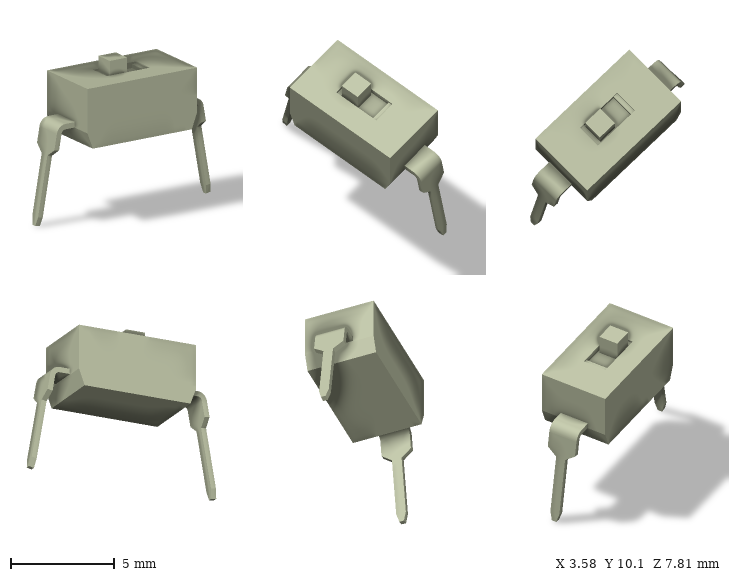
import cadquery as cq
import math

body_width = 3.58
body_length = 6.31
body_height = 3.07
bevel_height = 0.82
bevel_inset = 0.3

centre_x = -0.05

slot_width = 1.22
slot_length = 2.49
ledge_length = 0.24
ledge_depth = 0.1
slot_depth = 0.3

knob_width = 1.01
knob_height = 0.7

lead_span = 10.09
lead_drop = 4.04
lead_top = 1.12
lead_thickness = 0.27
lead_width = 1.53
bend_radius = 0.5
splay_angle = 10.0
pin_width = 0.5
tip_width = 0.24
tip_taper_length = 0.47
shoulder_start = 3.54
shoulder_end = 3.94

splay = math.radians(splay_angle)
along_y = math.sin(splay)
along_z = math.cos(splay)

tip_y = -lead_span / 2
tip_z = -lead_drop + lead_thickness * math.sin(splay)

bend_axis_z = lead_top - bend_radius
leg_top_z = bend_axis_z + bend_radius * math.sin(splay)
leg_length = (leg_top_z - tip_z) / along_z
leg_top_y = tip_y + leg_length * along_y
bend_axis_y = leg_top_y + bend_radius * math.cos(splay)


def make_housing():
    """Block with its two end faces bevelled inwards near the underside."""
    half_length = body_length / 2
    foot = half_length - bevel_inset
    profile = [
        (-foot, 0),
        (foot, 0),
        (half_length, bevel_height),
        (half_length, body_height),
        (-half_length, body_height),
        (-half_length, bevel_height),
    ]
    return cq.Workplane("YZ").polyline(profile).close().extrude(body_width / 2, both=True)


def make_slot():
    """Cutter: a shallow opening with a deeper floor between two end ledges."""
    top = cq.Workplane("XY", origin=(centre_x, 0, body_height))
    opening = top.rect(slot_width, slot_length).extrude(-ledge_depth)
    floor = top.rect(slot_width, slot_length - 2 * ledge_length).extrude(-slot_depth)
    return opening.union(floor)


def make_knob():
    """Square slider between the middle of the slot and its -Y ledge."""
    knob_length = slot_length / 2 - ledge_length
    return (
        cq.Workplane("XY", origin=(centre_x, -knob_length / 2, body_height - slot_depth))
        .rect(knob_width, knob_length)
        .extrude(slot_depth + knob_height)
    )


def bend_point(radius, angle):
    """Point about the bend axis, with the angle measured up from -Y towards +Z."""
    return (bend_axis_y - radius * math.cos(angle), bend_axis_z + radius * math.sin(angle))


def make_lead():
    """Lead on the -Y side: horizontal strip, rounded bend and tapered leg."""
    inner_radius = bend_radius - lead_thickness
    middle = (splay + math.pi / 2) / 2
    strip = (
        cq.Workplane("YZ", origin=(centre_x, 0, 0))
        .moveTo(-body_length / 2, lead_top)
        .lineTo(bend_axis_y, lead_top)
        .threePointArc(bend_point(bend_radius, middle), bend_point(bend_radius, splay))
        .lineTo(*bend_point(inner_radius, splay))
        .threePointArc(bend_point(inner_radius, middle), bend_point(inner_radius, math.pi / 2))
        .lineTo(-body_length / 2, lead_top - lead_thickness)
        .lineTo(-body_length / 2 + bevel_inset, lead_top - lead_thickness)
        .lineTo(-body_length / 2 + bevel_inset, lead_top)
        .close()
        .extrude(lead_width / 2, both=True)
    )

    right_edge = [
        (tip_width / 2, 0),
        (pin_width / 2, tip_taper_length),
        (pin_width / 2, shoulder_start),
        (lead_width / 2, shoulder_end),
        (lead_width / 2, leg_length),
    ]
    left_edge = [(-x, distance) for x, distance in reversed(right_edge)]
    outer_face = cq.Plane(
        origin=(centre_x, tip_y, tip_z), xDir=(1, 0, 0), normal=(0, -along_z, along_y)
    )
    leg = cq.Workplane(outer_face).polyline(right_edge + left_edge).close().extrude(-lead_thickness)
    return strip.union(leg)


lead = make_lead()
housing = make_housing().union(lead).union(lead.mirror("XZ"))
result = housing.cut(make_slot()).union(make_knob())